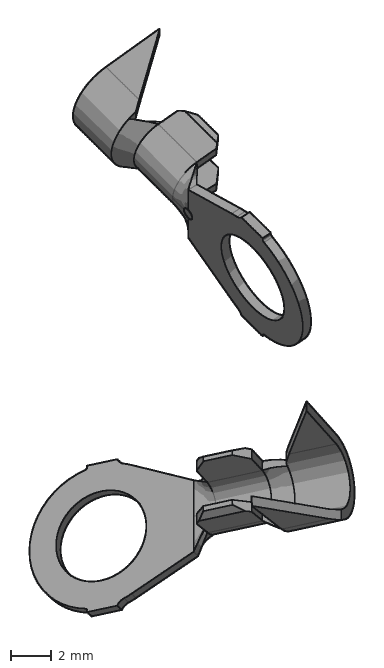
import cadquery as cq
import math

length = 17.42
sheet = 0.54

ring_radius = 3.97
stud_hole_radius = 2.49
ring_x = length - ring_radius
tab_half_width = 4.1
tab_start = 12.56
tab_end = 14.23
tab_flare_start = 12.18
tab_root_radius = 0.1
neck_half_width = 2.0
neck_x = 8.35
bend_disc_radius = 0.33
bend_disc_height = 0.02

barrel_length = 3.05
wire_start = 4.05
wire_end = wire_start + barrel_length
wire_radius = 1.67
wire_flare = 3.5
wire_top = 3.55
wire_corner = 0.73
wire_bevel_length = 0.45
wire_bevel_edge = 0.28

grip_radius = 2.32
grip_flare = 4.7
grip_bottom = -0.65
grip_top = 4.95
grip_cut_low = 0.92
grip_wrap_low = 0.49

wire_center = wire_radius
grip_center = grip_bottom + grip_radius
cut_reach = tab_half_width


def ring_rim(x):
    """Half width of the ring at a given X."""
    return math.sqrt(ring_radius**2 - (x - ring_x) ** 2)


def arc_point(center_y, radius, flare):
    """Point on the +Z side of an arc, turned back from the axis height by the flare angle."""
    angle = math.radians(flare)
    return center_y - radius * math.sin(angle), radius * math.cos(angle)


def mirrored(point):
    return point[0], -point[1]


def neck_tangent_x():
    """X where the straight neck edge touches the ring rim tangentially."""
    run = neck_x - ring_x
    to_corner = math.atan2(neck_half_width, run)
    swing = math.acos(ring_radius / math.hypot(run, neck_half_width))
    return ring_x + ring_radius * math.cos(to_corner - swing)


def make_plate():
    """Flat tapered neck, ring and side tabs, with the stud hole."""
    neck_meets_ring = neck_tangent_x()
    flare_start = (tab_flare_start, ring_rim(tab_flare_start))
    root_end = tab_end + tab_root_radius
    rim_middle = (neck_meets_ring + tab_flare_start) / 2
    ring = cq.Workplane("XZ").center(ring_x, 0).circle(ring_radius).extrude(-sheet)
    half = (
        cq.Workplane("XZ")
        .moveTo(neck_x, 0)
        .lineTo(neck_x, neck_half_width)
        .lineTo(neck_meets_ring, ring_rim(neck_meets_ring))
        .threePointArc((rim_middle, ring_rim(rim_middle)), flare_start)
        .tangentArcPoint((tab_start, tab_half_width), relative=False)
        .lineTo(tab_end, tab_half_width)
        .lineTo(tab_end, ring_rim(tab_end) + tab_root_radius)
        .tangentArcPoint((root_end, ring_rim(root_end)), relative=False)
        .lineTo(root_end, 0)
        .close()
        .extrude(-sheet)
    )
    plate = ring.union(half).union(half.mirror("XY"))
    hole = cq.Workplane("XZ").center(ring_x, 0).circle(stud_hole_radius).extrude(-sheet)
    return plate.cut(hole)


def make_barrel(start, center_y, radius, flare, top, bevel_length=0.0, end_thickness=sheet):
    """U-shaped barrel: a bent bottom and two straight wings, optionally bevelled outside at the ends."""
    angle = math.radians(flare)
    inner = radius - sheet
    outer_tangent = arc_point(center_y, radius, flare)
    inner_tangent = arc_point(center_y, inner, flare)
    wing = (top - inner_tangent[0]) / math.cos(angle)

    def on_wing(along, height):
        """Point on the wing, measured along it and outward from its inner face."""
        return (
            inner_tangent[0] + along * math.cos(angle) - height * math.sin(angle),
            inner_tangent[1] + along * math.sin(angle) + height * math.cos(angle),
        )

    wing_end = [on_wing(wing - bevel_length, sheet)]
    if bevel_length > 0:
        wing_end.append(on_wing(wing, end_thickness))
    wing_end.append(on_wing(wing, 0))

    profile = cq.Workplane("YZ").workplane(offset=start).moveTo(*mirrored(outer_tangent))
    profile = profile.threePointArc((center_y - radius, 0), outer_tangent)
    for point in wing_end:
        profile = profile.lineTo(*point)
    profile = profile.lineTo(*inner_tangent)
    profile = profile.threePointArc((center_y - inner, 0), mirrored(inner_tangent))
    for point in reversed(wing_end):
        profile = profile.lineTo(*mirrored(point))
    return profile.close().extrude(barrel_length)


def make_wire_barrel():
    barrel = make_barrel(
        wire_start, wire_center, wire_radius, wire_flare, wire_top, wire_bevel_length, wire_bevel_edge
    )
    for x, inward in ((wire_start, 1), (wire_end, -1)):
        corner = (
            cq.Workplane("XY")
            .moveTo(x, wire_top)
            .lineTo(x + inward * wire_corner, wire_top)
            .lineTo(x, wire_top - wire_corner)
            .close()
            .extrude(cut_reach, both=True)
        )
        barrel = barrel.cut(corner)
    return barrel


def make_grip_barrel():
    """Insulation barrel whose two wings are cut to opposite triangles."""
    barrel = make_barrel(0, grip_center, grip_radius, grip_flare, grip_top)
    for tip_x, low_x, side in ((0, barrel_length, 1), (barrel_length, 0, -1)):
        slant = (
            cq.Workplane("XY")
            .moveTo(tip_x, grip_top)
            .lineTo(low_x, grip_top)
            .lineTo(low_x, grip_cut_low)
            .close()
            .extrude(side * cut_reach)
        )
        barrel = barrel.cut(slant)
    return barrel


def bent_section(x, center_y, radius, flare):
    """Closed wire of a bent strip across the part at a given X."""
    inner = radius - sheet
    outer_end = arc_point(center_y, radius, flare)
    inner_end = arc_point(center_y, inner, flare)
    return (
        cq.Workplane("YZ")
        .workplane(offset=x)
        .moveTo(*mirrored(outer_end))
        .threePointArc((center_y - radius, 0), outer_end)
        .lineTo(*inner_end)
        .threePointArc((center_y - inner, 0), mirrored(inner_end))
        .close()
        .val()
    )


def make_barrel_transition():
    """Conical web between the barrels; its edges climb in a straight line."""
    steps = 4
    wire_wrap = arc_point(wire_center, wire_radius, wire_flare)[0]
    sections = []
    for i in range(steps + 1):
        t = i / steps
        x = barrel_length + t * (wire_start - barrel_length)
        radius = grip_radius + t * (wire_radius - grip_radius)
        center_y = grip_center + t * (wire_center - grip_center)
        edge_y = grip_wrap_low + t * (wire_wrap - grip_wrap_low)
        flare = math.degrees(math.asin((center_y - edge_y) / radius))
        sections.append(bent_section(x, center_y, radius, flare))
    return cq.Workplane(cq.Solid.makeLoft(sections))


def make_neck_transition():
    """Ruled web that flattens the wire barrel into the neck, made as two mirrored halves."""
    inner = wire_radius - sheet
    mid_flare = (wire_flare + 90) / 2
    bent = (
        cq.Workplane("YZ")
        .workplane(offset=wire_end)
        .moveTo(0, 0)
        .threePointArc(
            arc_point(wire_center, wire_radius, mid_flare), arc_point(wire_center, wire_radius, wire_flare)
        )
        .lineTo(*arc_point(wire_center, inner, wire_flare))
        .threePointArc(arc_point(wire_center, inner, mid_flare), (sheet, 0))
        .close()
        .val()
    )
    flat = (
        cq.Workplane("YZ")
        .workplane(offset=neck_x)
        .lineTo(0, neck_half_width)
        .lineTo(sheet, neck_half_width)
        .lineTo(sheet, 0)
        .close()
        .val()
    )
    half = cq.Workplane(cq.Solid.makeLoft([bent, flat], True))
    return half.union(half.mirror("XY"))


def make_bend_disc():
    """Disc standing slightly proud of the outer face, through the full sheet thickness."""
    disc = cq.Workplane("XZ", origin=(neck_x, -bend_disc_height, 0)).circle(bend_disc_radius)
    return disc.extrude(-(sheet + bend_disc_height))


result = (
    make_plate()
    .union(make_neck_transition())
    .union(make_wire_barrel())
    .union(make_barrel_transition())
    .union(make_grip_barrel())
    .union(make_bend_disc())
)